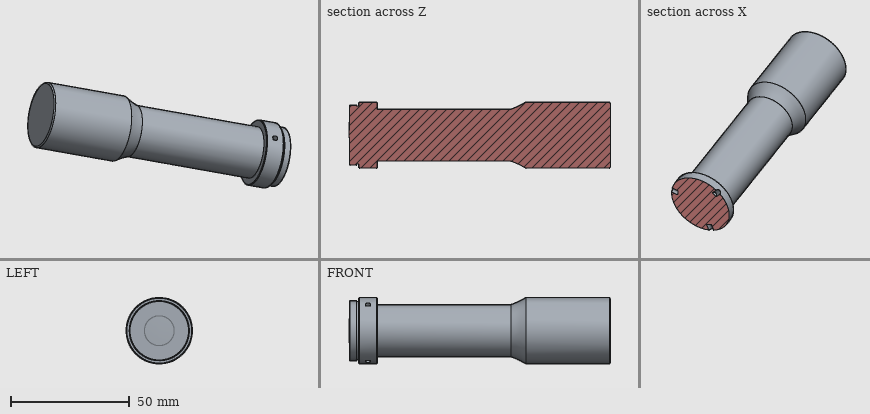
import cadquery as cq
import math

length = 110.1
body_radius = 14.0
tube_radius = 11.0
rim_radius = 12.7
neck_radius = 12.3
edge_chamfer = 0.5
rim_chamfer = 0.3
collar_chamfer = 0.3

rim_end = 3.1
collar_start = 4.1
collar_end = 12.0
flare_start = 68.2
flare_end = 74.5
flare_sag = 0.2

dome_radius = 6.3
dome_height = 0.17

screw_hole_count = 3
screw_hole_radius = 1.1
screw_hole_x = (collar_start + collar_end) / 2
first_screw_angle = 52.0


def make_turned_body():
    """Revolve the stepped half profile about the X axis."""
    flare_middle = (
        (flare_start + flare_end) / 2,
        (tube_radius + body_radius) / 2 - flare_sag,
    )
    sphere_radius = (dome_radius**2 + dome_height**2) / (2 * dome_height)
    half_angle = math.asin(dome_radius / sphere_radius) / 2
    dome_middle = (
        sphere_radius * (1 - math.cos(half_angle)),
        sphere_radius * math.sin(half_angle),
    )
    profile = (
        cq.Workplane("XY")
        .moveTo(0, 0)
        .threePointArc(dome_middle, (dome_height, dome_radius))
        .lineTo(dome_height, rim_radius - rim_chamfer)
        .lineTo(dome_height + rim_chamfer, rim_radius)
        .lineTo(rim_end, rim_radius)
        .lineTo(rim_end, neck_radius)
        .lineTo(collar_start, neck_radius)
        .lineTo(collar_start, body_radius - collar_chamfer)
        .lineTo(collar_start + collar_chamfer, body_radius)
        .lineTo(collar_end - collar_chamfer, body_radius)
        .lineTo(collar_end, body_radius - collar_chamfer)
        .lineTo(collar_end, tube_radius)
        .lineTo(flare_start, tube_radius)
        .threePointArc(flare_middle, (flare_end, body_radius))
        .lineTo(length - edge_chamfer, body_radius)
        .lineTo(length, body_radius - edge_chamfer)
        .lineTo(length, 0)
        .close()
    )
    return profile.revolve(360, (0, 0, 0), (1, 0, 0))


def make_screw_hole(angle):
    """Radial cylinder from the tube radius out past the collar."""
    direction = cq.Vector(0, -math.cos(math.radians(angle)), math.sin(math.radians(angle)))
    start = cq.Vector(screw_hole_x, 0, 0) + direction * tube_radius
    return cq.Solid.makeCylinder(screw_hole_radius, body_radius, start, direction)


result = make_turned_body()
for index in range(screw_hole_count):
    result = result.cut(make_screw_hole(first_screw_angle + index * 360 / screw_hole_count))